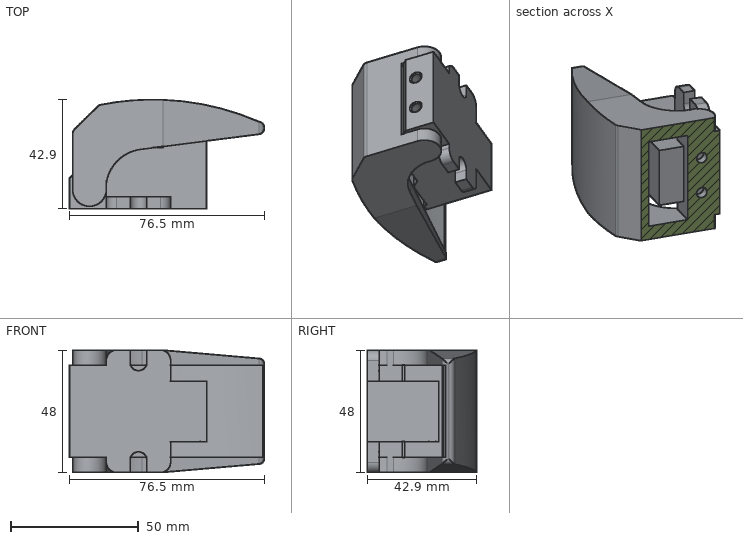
import cadquery as cq
import math

LENGTH = 76.5
DEPTH = 42.9
HEIGHT = 48.0
HALF_HEIGHT = HEIGHT / 2

COVER_LEFT = 1.3
ARM_WIDTH = 13.2
ARM_RADIUS = ARM_WIDTH / 2
ARM_X = COVER_LEFT + ARM_RADIUS
PIVOT_Y = 7.65
ARM_RIGHT = COVER_LEFT + ARM_WIDTH
BEVEL_START_Y = 30.5
BEVEL_END_X = 11.7
BEVEL_FILLET = 2.5
BACK_RADIUS = 104.05
BACK_X = 32.75
BACK_Y = DEPTH - BACK_RADIUS
NOSE_RADIUS = 2.3
NOSE_X = LENGTH - NOSE_RADIUS
NOSE_MID_Y = 31.6
NOSE_LOW_Y = 29.2
THROAT_START_Y = 10.25
THROAT_MID = (19.1, 19.1)
THROAT_END = (28.45, 23.4)
TAPER_X = 36.65
NOSE_HALF_HEIGHT = 20.7

WALL = 2.45
CHANNEL_HEIGHT = 36.1
CHANNEL_RIGHT = 75.9
WINDOW_TOP_Y = 14.6

BLOCK_DEPTH = 13.8
BLOCK_CHAMFER = 1.75
TONGUE_HEIGHT = 23.7
TONGUE_RIGHT = 53.85
TONGUE_LOW_Y = 24.1
TONGUE_MID_Y = 26.85
TONGUE_HIGH_Y = 28.15
TONGUE_RAMP_X = 36.6
TONGUE_LIP_X = 51.25
PLATE_WIDTH = 25.2
PLATE_DEPTH = 4.75
PLATE_FILLET = 4.0
SLOT_WIDTH = 6.6
SLOT_BOTTOM_Z = 15.9

HOLE_DIAMETER = 4.1
HOLE_RIM_DIAMETER = 5.2
HOLE_SPACING = 15.0
HOLE_DEPTH = 7.65


def arc_y(x, radius):
    """Y of an arc concentric with the back of the cover."""
    return BACK_Y + math.sqrt(radius**2 - (x - BACK_X) ** 2)


def prism(outline, height):
    """Extrude an XY outline symmetrically about the Z = 0 plane."""
    return outline.close().extrude(height / 2, both=True)


def box(x_min, x_max, y_min, y_max, height):
    size = (x_max - x_min, y_max - y_min, height)
    return cq.Workplane("XY").box(*size, centered=(False, False, True)).translate((x_min, y_min, 0))


def cover_blank():
    bevel_end_y = arc_y(BEVEL_END_X, BACK_RADIUS)
    outline = (
        cq.Workplane("XY")
        .moveTo(COVER_LEFT, PIVOT_Y)
        .lineTo(COVER_LEFT, BEVEL_START_Y)
        .lineTo(BEVEL_END_X, bevel_end_y)
        .threePointArc((BACK_X, DEPTH), (NOSE_X, arc_y(NOSE_X, BACK_RADIUS)))
        .threePointArc((LENGTH, NOSE_MID_Y), (NOSE_X, NOSE_LOW_Y))
        .lineTo(*THROAT_END)
        .threePointArc(THROAT_MID, (ARM_RIGHT, THROAT_START_Y))
        .lineTo(ARM_RIGHT, PIVOT_Y)
        .threePointArc((ARM_X, PIVOT_Y - ARM_RADIUS), (COVER_LEFT, PIVOT_Y))
    )
    blank = prism(outline, HEIGHT)
    for corner in [(COVER_LEFT, BEVEL_START_Y, 0), (BEVEL_END_X, bevel_end_y, 0)]:
        blank = blank.edges(cq.selectors.NearestToPointSelector(corner)).fillet(BEVEL_FILLET)
    return blank


def side_taper():
    """Tall prism with the XZ outline that narrows the cover toward its nose."""
    corner_mid = NOSE_RADIUS * math.sqrt(0.5)
    corner_z = NOSE_HALF_HEIGHT - NOSE_RADIUS
    return (
        cq.Workplane("XZ")
        .moveTo(0, -HALF_HEIGHT)
        .lineTo(TAPER_X, -HALF_HEIGHT)
        .lineTo(NOSE_X, -NOSE_HALF_HEIGHT)
        .threePointArc((NOSE_X + corner_mid, -corner_z - corner_mid), (LENGTH, -corner_z))
        .lineTo(LENGTH, corner_z)
        .threePointArc((NOSE_X + corner_mid, corner_z + corner_mid), (NOSE_X, NOSE_HALF_HEIGHT))
        .lineTo(TAPER_X, HALF_HEIGHT)
        .lineTo(0, HALF_HEIGHT)
        .close()
        .extrude(-DEPTH)
    )


def channel():
    """Space between the cheeks, open at the throat and through the rear window."""
    inner_radius = BACK_RADIUS - WALL
    channel_end_y = arc_y(CHANNEL_RIGHT, inner_radius)
    inner_left = COVER_LEFT + WALL
    bevel_shift = WALL * math.tan(math.radians(22.5))
    inner_bevel_x = BEVEL_END_X + bevel_shift
    outline = (
        cq.Workplane("XY")
        .moveTo(0, 0)
        .lineTo(0, WINDOW_TOP_Y)
        .lineTo(inner_left, WINDOW_TOP_Y)
        .lineTo(inner_left, BEVEL_START_Y - bevel_shift)
        .lineTo(inner_bevel_x, arc_y(inner_bevel_x, inner_radius))
        .threePointArc((BACK_X, BACK_Y + inner_radius), (CHANNEL_RIGHT, channel_end_y))
        .lineTo(CHANNEL_RIGHT, 0)
    )
    return prism(outline, CHANNEL_HEIGHT)


def pivot_block():
    block = box(0, ARM_RIGHT, 0, BLOCK_DEPTH, CHANNEL_HEIGHT)
    return block.edges("<X and >Y").chamfer(BLOCK_CHAMFER)


def tongue():
    ramp = TONGUE_MID_Y - TONGUE_LOW_Y
    outline = (
        cq.Workplane("XY")
        .moveTo(ARM_X, 0)
        .lineTo(ARM_X, TONGUE_LOW_Y)
        .lineTo(TONGUE_RAMP_X, TONGUE_LOW_Y)
        .lineTo(TONGUE_RAMP_X + ramp, TONGUE_MID_Y)
        .lineTo(TONGUE_LIP_X, TONGUE_MID_Y)
        .lineTo(TONGUE_LIP_X, TONGUE_HIGH_Y)
        .lineTo(TONGUE_RIGHT, TONGUE_HIGH_Y)
        .lineTo(TONGUE_RIGHT, 0)
    )
    return prism(outline, TONGUE_HEIGHT)


def slotted_plate():
    plate = box(ARM_RIGHT, ARM_RIGHT + PLATE_WIDTH, 0, PLATE_DEPTH, HEIGHT)
    plate = plate.edges("|Y").fillet(PLATE_FILLET)
    slot_x = ARM_RIGHT + PLATE_WIDTH / 2
    slot_radius = SLOT_WIDTH / 2
    slot_length = 2 * (HALF_HEIGHT - SLOT_BOTTOM_Z)
    for side in (-1, 1):
        slot = (
            cq.Workplane("XZ")
            .center(slot_x, side * HALF_HEIGHT)
            .slot2D(slot_length + 2 * slot_radius, SLOT_WIDTH, 90)
            .extrude(-PLATE_DEPTH)
            .translate((0, 0, side * slot_radius))
        )
        plate = plate.cut(slot)
    return plate


def screw_holes():
    return (
        cq.Workplane("YZ")
        .pushPoints([(PIVOT_Y, -HOLE_SPACING / 2), (PIVOT_Y, HOLE_SPACING / 2)])
        .circle(HOLE_DIAMETER / 2)
        .extrude(HOLE_DEPTH)
    )


def hole_rims():
    """45 degree countersinks at the mouths of the screw holes."""
    rim_depth = (HOLE_RIM_DIAMETER - HOLE_DIAMETER) / 2
    return (
        cq.Workplane("YZ")
        .pushPoints([(PIVOT_Y, -HOLE_SPACING / 2), (PIVOT_Y, HOLE_SPACING / 2)])
        .circle(HOLE_RIM_DIAMETER / 2)
        .extrude(rim_depth, taper=45)
    )


cover = cover_blank().intersect(side_taper()).cut(channel())
base = pivot_block().union(tongue()).union(slotted_plate())
base = base.cut(screw_holes()).cut(hole_rims())
result = cover.union(base)